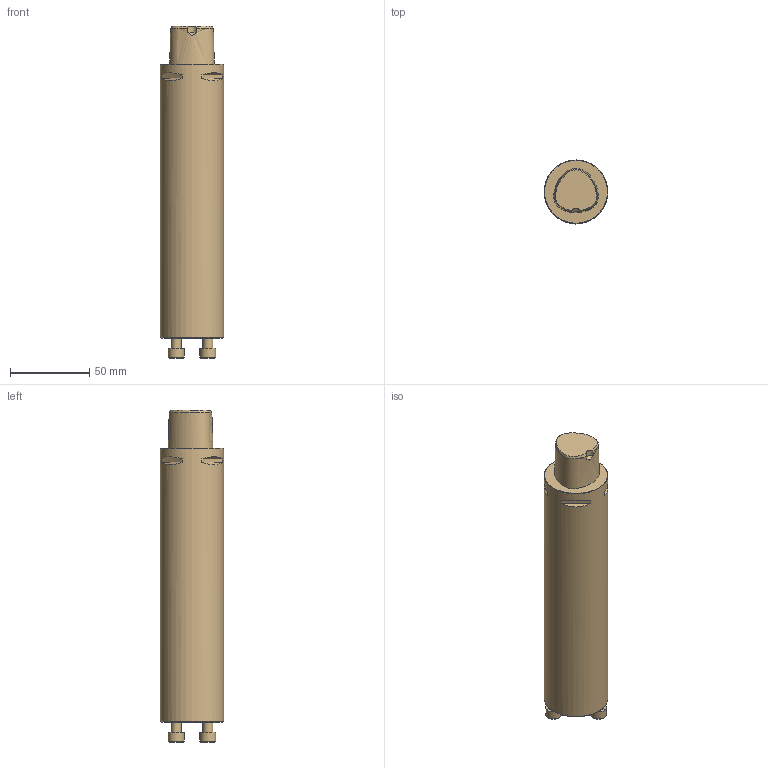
import cadquery as cq
import math

total_length = 209.0
shank_length = 24.0
body_diameter = 40.0
body_length = 172.5
body_bottom_chamfer = 0.5
body_top_chamfer = 0.2
body_radius = body_diameter / 2

polygon_diameter = 28.1
polygon_eccentricity = 0.9
polygon_curve_points = 72
shank_taper = 1 / 20
shank_chamfer_width = 0.6
shank_chamfer_height = 1.4

notch_diameter = 6.0
notch_axis_y = -13.5
notch_depth = 4.0
drill_point_angle = 100.0

groove_center_z = -7.9
groove_floor_distance = 17.75
groove_floor_width = 2.2
groove_mouth_width = 5.0
groove_angles = (45, 135, 225, 315)

screw_offset = 10.0
screw_positions = ((-screw_offset, screw_offset), (screw_offset, -screw_offset))
screw_diameter = 6.4
screw_head_diameter = 10.0
screw_head_height = 6.0
screw_head_chamfer = 0.6
screw_length = total_length - shank_length - body_length


def polygon_wire(mean_diameter, z):
    """Closed three-lobed trochoid curve of constant width at height z."""
    radius = mean_diameter / 2
    ecc = polygon_eccentricity

    def point(t):
        angle = 2 * math.pi * t
        x = radius * math.sin(angle) + 2 * ecc * math.sin(2 * angle) + ecc * math.sin(4 * angle)
        y = -radius * math.cos(angle) + 2 * ecc * math.cos(2 * angle) - ecc * math.cos(4 * angle)
        return (x, y, z)

    return cq.Workplane("XY").parametricCurve(point, N=polygon_curve_points).val()


def make_body():
    body = cq.Workplane("XY").circle(body_radius).extrude(-body_length)
    body = body.faces("<Z").edges().chamfer(body_bottom_chamfer)
    return body.faces(">Z").edges().chamfer(body_top_chamfer)


def make_shank():
    chamfer_z = shank_length - shank_chamfer_height
    upper_diameter = polygon_diameter - shank_taper * chamfer_z
    top_diameter = upper_diameter - 2 * shank_chamfer_width
    base = polygon_wire(polygon_diameter, 0)
    upper = polygon_wire(upper_diameter, chamfer_z)
    top = polygon_wire(top_diameter, shank_length)
    cone = cq.Solid.makeLoft([base, upper], True)
    chamfer = cq.Solid.makeLoft([upper, top], True)
    return cq.Workplane(cone).union(cq.Workplane(chamfer))


def make_notch():
    """Vertical drill hole with a conical tip, open to the flank of the shank."""
    radius = notch_diameter / 2
    floor_z = shank_length - notch_depth
    tip_z = floor_z - radius / math.tan(math.radians(drill_point_angle / 2))
    profile = (
        cq.Workplane("XZ")
        .moveTo(0, tip_z)
        .lineTo(radius, floor_z)
        .lineTo(radius, shank_length)
        .lineTo(0, shank_length)
        .close()
    )
    return profile.revolve(360, (0, 0), (0, 1)).translate((0, notch_axis_y, 0))


def make_groove(angle):
    floor_half = groove_floor_width / 2
    mouth_half = groove_mouth_width / 2
    section = (
        cq.Workplane("XZ")
        .moveTo(groove_floor_distance, groove_center_z - floor_half)
        .lineTo(body_radius, groove_center_z - mouth_half)
        .lineTo(body_radius, groove_center_z + mouth_half)
        .lineTo(groove_floor_distance, groove_center_z + floor_half)
        .close()
    )
    groove = section.extrude(body_radius, both=True)
    return groove.rotate((0, 0, 0), (0, 0, 1), angle)


def make_screw(x, y):
    shaft = cq.Workplane("XY").circle(screw_diameter / 2).extrude(-screw_length)
    head = (
        cq.Workplane("XY")
        .workplane(offset=-screw_length)
        .circle(screw_head_diameter / 2)
        .extrude(screw_head_height)
        .faces("<Z")
        .edges()
        .chamfer(screw_head_chamfer)
    )
    return shaft.union(head).translate((x, y, -body_length))


result = make_body().union(make_shank()).cut(make_notch())
for groove_angle in groove_angles:
    result = result.cut(make_groove(groove_angle))
for screw_x, screw_y in screw_positions:
    result = result.union(make_screw(screw_x, screw_y))